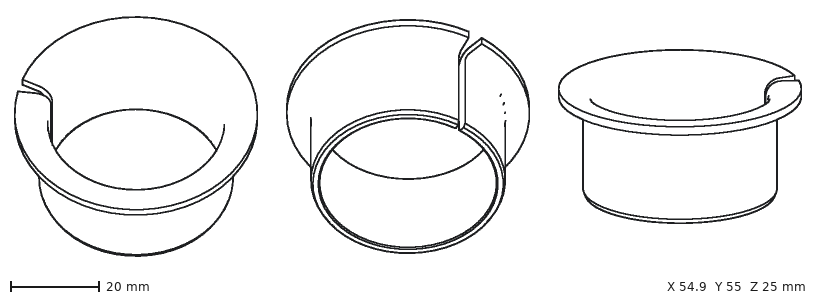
import cadquery as cq

height = 25.0
flange_radius = 27.5
wall = 2.0
body_radius = 22.0
bore_radius = body_radius - wall
outer_bend_radius = 1.5
inner_bend_radius = outer_bend_radius + wall
flange_underside = height - wall
bend_start = flange_underside - outer_bend_radius

chamfer_height = 1.1
chamfer_width = 0.45

bore_chamfer = 0.35

gap_at_bore = 1.0
gap_at_rim = 3.5
cut_clearance = 2.75


def bushing_ring():
    """Wall that bends outward into the flange, revolved about Z."""
    profile = (
        cq.Workplane("XZ")
        .moveTo(bore_radius + bore_chamfer, 0)
        .lineTo(body_radius - chamfer_width, 0)
        .lineTo(body_radius, chamfer_height)
        .lineTo(body_radius, bend_start)
        .radiusArc((body_radius + outer_bend_radius, flange_underside), outer_bend_radius)
        .lineTo(flange_radius, flange_underside)
        .lineTo(flange_radius, height)
        .lineTo(bore_radius + inner_bend_radius, height)
        .radiusArc((bore_radius, bend_start), -inner_bend_radius)
        .lineTo(bore_radius, bore_chamfer)
        .close()
    )
    ring = profile.revolve(360, (0, 0, 0), (0, 1, 0))
    return ring.rotate((0, 0, 0), (0, 0, 1), 180)


def split_gap():
    """Tapered prism that opens the ring through its full height."""
    half_slope = (gap_at_rim - gap_at_bore) / 2 / (flange_radius - bore_radius)
    tip_x = -bore_radius + gap_at_bore / 2 / half_slope
    outside_x = -flange_radius - cut_clearance
    half_width = half_slope * (tip_x - outside_x)
    return (
        cq.Workplane("XY")
        .polyline([(tip_x, 0), (outside_x, half_width), (outside_x, -half_width)])
        .close()
        .extrude(height)
    )


result = bushing_ring().cut(split_gap())